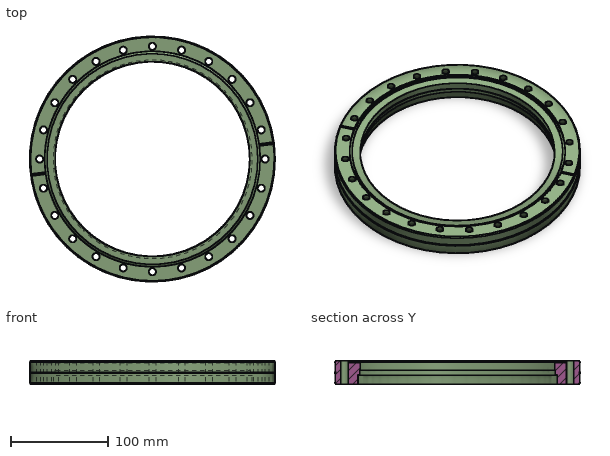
import cadquery as cq

outer_radius = 126.5
half_height = 24.5 / 2
bore_radius = 100.3

chamfer_height = 1.5
chamfer_width = 1.0
rim_groove_half_height = 0.5
rim_groove_depth = 0.5

recess_radius = 111.2
recess_depth = 2.3
knife_radius = 108.5
knife_depth = 1.0
floor_depth = 1.8

middle_bore_radius = 100.8
middle_bore_top = 2.3
middle_bore_bottom = -2.5
lower_bore_radius = 102.5

bolt_count = 24
bolt_circle_radius = 116.2
bolt_hole_diameter = 7.0

leak_groove_count = 2
leak_groove_angle = 180 / bolt_count
leak_groove_width = 2.3
leak_groove_depth = 1.0


def make_ring():
    """Revolve the ring section, listed from the bore steps up over the top face and down the rim."""
    section_points = [
        (lower_bore_radius, -half_height),
        (lower_bore_radius, middle_bore_bottom),
        (middle_bore_radius, middle_bore_bottom),
        (middle_bore_radius, middle_bore_top),
        (bore_radius, middle_bore_top),
        (bore_radius, half_height - floor_depth),
        (knife_radius, half_height - floor_depth),
        (knife_radius, half_height - knife_depth),
        (recess_radius, half_height - recess_depth),
        (recess_radius, half_height),
        (outer_radius - chamfer_width, half_height),
        (outer_radius, half_height - chamfer_height),
        (outer_radius, rim_groove_half_height),
        (outer_radius - rim_groove_depth, rim_groove_half_height),
        (outer_radius - rim_groove_depth, -rim_groove_half_height),
        (outer_radius, -rim_groove_half_height),
        (outer_radius, chamfer_height - half_height),
        (outer_radius - chamfer_width, -half_height),
    ]
    section = cq.Workplane("XZ").polyline(section_points).close()
    return section.revolve(360, (0, 0, 0), (0, 1, 0))


def make_bolt_holes():
    """Through holes evenly spaced on the bolt circle, the first one on the X axis."""
    return (
        cq.Workplane("XY", origin=(0, 0, -half_height))
        .polarArray(bolt_circle_radius, 0, 360, bolt_count)
        .circle(bolt_hole_diameter / 2)
        .extrude(2 * half_height)
    )


def make_leak_groove(angle):
    """Radial V groove in the top face, from the sealing recess out through the rim."""
    start_radius = (knife_radius + recess_radius) / 2
    return (
        cq.Workplane("YZ", origin=(start_radius, 0, 0))
        .moveTo(-leak_groove_width / 2, half_height)
        .lineTo(0, half_height - leak_groove_depth)
        .lineTo(leak_groove_width / 2, half_height)
        .close()
        .extrude(outer_radius - start_radius)
        .rotate((0, 0, 0), (0, 0, 1), angle)
    )


result = make_ring().cut(make_bolt_holes())
for index in range(leak_groove_count):
    result = result.cut(make_leak_groove(leak_groove_angle + index * 360 / leak_groove_count))